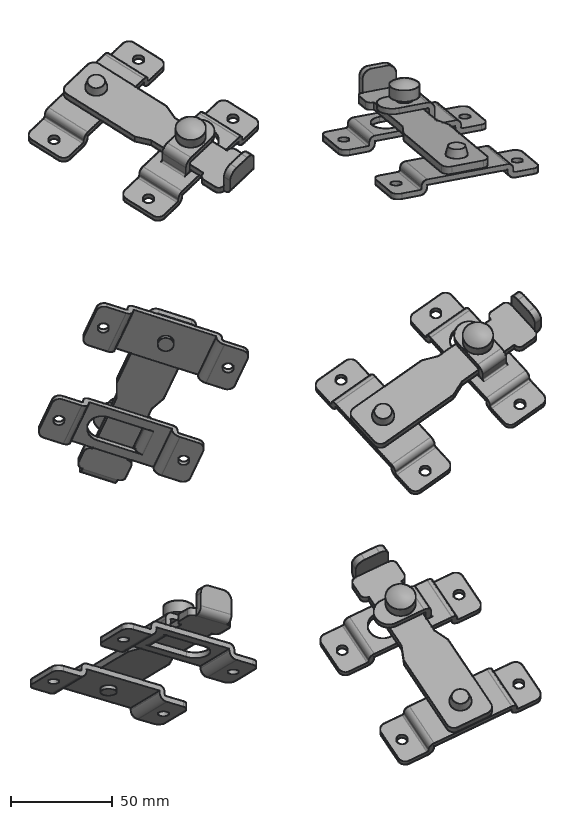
import cadquery as cq


plate_width = 25.0
plate_length = 80.0
plate_thickness = 3.0
plate_top = 8.0
plate_corner_radius = 4.0
plate_pitch = 60.0
riser_half_span = 25.0
tight_bend = 1.0
screw_hole_diameter = 5.6
screw_hole_spacing = 66.0
plate_underside = plate_top - plate_thickness
wide_bend = tight_bend + plate_thickness

hook_width = 15.0
hook_top = 18.0
hook_back = -13.0
hook_tip = 14.2
window_end = 17.5
hook_underside = hook_top - plate_thickness
hook_inner_back = hook_back + plate_thickness
hook_root = hook_back - tight_bend

bar_width = plate_width
bar_thickness = 4.0
bar_bottom = 8.5
bar_corner_radius = 4.0
bar_neck_width = 18.5
taper_start = 34.4
taper_end = 42.4
bar_head_start = 75.5
bar_head_length = 13.0
bar_head_radius = 3.0
tab_top = 24.6
tab_corner_radius = 5.0
bar_start = -plate_width / 2
bar_top = bar_bottom + bar_thickness
bar_head_end = bar_head_start + bar_head_length
tab_outer_face = bar_head_end + bar_thickness

shank_diameter = 5.0
rivet_tail_diameter = 8.0
rivet_tail_height = 2.0
rivet_head_diameter = 11.0
rivet_head_top_diameter = 8.6
rivet_head_height = 4.5
rivet_rim_height = 0.3

knob_diameter = 15.0
knob_neck_diameter = 8.0
knob_neck_length = 2.5
knob_side_height = 6.0
knob_dome_height = 2.5


def make_plate():
    """Raised strap: a flat bridge stepping down to a foot with a screw hole at each end."""
    half_length = plate_length / 2
    riser_inside = riser_half_span - plate_thickness
    foot_start = riser_half_span + tight_bend
    half_strap = (
        cq.Workplane("YZ")
        .moveTo(0, plate_top)
        .lineTo(riser_inside, plate_top)
        .tangentArcPoint((riser_half_span, plate_underside), relative=False)
        .lineTo(riser_half_span, wide_bend)
        .tangentArcPoint((foot_start, plate_thickness), relative=False)
        .lineTo(half_length, plate_thickness)
        .lineTo(half_length, 0)
        .lineTo(foot_start, 0)
        .tangentArcPoint((riser_inside, wide_bend), relative=False)
        .lineTo(riser_inside, plate_underside)
        .lineTo(0, plate_underside)
        .close()
        .extrude(plate_width / 2, both=True)
        .edges("|Z and >Y")
        .fillet(plate_corner_radius)
    )
    screw_holes = (
        cq.Workplane("XY")
        .pushPoints([(0, -screw_hole_spacing / 2), (0, screw_hole_spacing / 2)])
        .circle(screw_hole_diameter / 2)
        .extrude(plate_thickness)
    )
    return half_strap.union(half_strap.mirror("XZ")).clean().cut(screw_holes)


def plan_tongue(start, end, bottom, top):
    """Upright block as wide as the hook, square at the start and rounded at the +Y end."""
    radius = hook_width / 2
    return (
        cq.Workplane("XY", origin=(0, 0, bottom))
        .moveTo(-radius, start)
        .lineTo(radius, start)
        .lineTo(radius, end - radius)
        .threePointArc((0, end), (-radius, end - radius))
        .close()
        .extrude(top - bottom)
    )


def make_hook():
    """Strip rising from its root on the plate and bent over the bar towards +Y."""
    side = (
        cq.Workplane("YZ")
        .moveTo(hook_root, plate_top)
        .radiusArc((hook_back, plate_top + tight_bend), -tight_bend)
        .lineTo(hook_back, hook_top - wide_bend)
        .tangentArcPoint((hook_back + wide_bend, hook_top), relative=False)
        .lineTo(hook_tip, hook_top)
        .lineTo(hook_tip, hook_underside)
        .lineTo(hook_inner_back + tight_bend, hook_underside)
        .tangentArcPoint((hook_inner_back, hook_underside - tight_bend), relative=False)
        .lineTo(hook_inner_back, plate_underside + wide_bend)
        .tangentArcPoint((hook_root, plate_underside), relative=False)
        .close()
        .extrude(hook_width / 2, both=True)
    )
    return side.intersect(plan_tongue(hook_root, hook_tip, plate_underside, hook_top))


def rivet_hole():
    """Cutter for the bore that the shank fills through the first plate and the bar."""
    return (
        cq.Workplane("XY", origin=(0, 0, plate_underside))
        .circle(shank_diameter / 2)
        .extrude(bar_top - plate_underside)
    )


def make_pivot_plate():
    """First plate, pierced for the rivet shank."""
    return make_plate().cut(rivet_hole())


def make_keeper_plate():
    """Second plate, with the hook and the window it was bent out of."""
    window = plan_tongue(hook_root, window_end, plate_underside, plate_top)
    keeper = make_plate().cut(window).union(make_hook())
    return keeper.translate((plate_pitch, 0, 0))


def make_bar():
    """Flat latch bar, necked under the hook and turned up into a finger tab."""
    body = (
        cq.Workplane("XY", origin=(0, 0, bar_bottom))
        .moveTo(bar_start, -bar_width / 2)
        .lineTo(taper_start, -bar_width / 2)
        .lineTo(taper_end, -bar_neck_width / 2)
        .lineTo(bar_head_start, -bar_neck_width / 2)
        .lineTo(bar_head_start, bar_neck_width / 2)
        .lineTo(taper_end, bar_neck_width / 2)
        .lineTo(taper_start, bar_width / 2)
        .lineTo(bar_start, bar_width / 2)
        .close()
        .extrude(bar_thickness)
        .edges("|Z and <X")
        .fillet(bar_corner_radius)
    )
    head = (
        cq.Workplane("XY", origin=(bar_head_start, 0, bar_bottom))
        .box(bar_head_length, bar_width, bar_thickness, centered=(False, True, False))
        .edges("|Z")
        .fillet(bar_head_radius)
    )
    tab = (
        cq.Workplane("XZ")
        .moveTo(bar_head_end, bar_bottom)
        .radiusArc((tab_outer_face, bar_top), -bar_thickness)
        .lineTo(tab_outer_face, tab_top)
        .lineTo(bar_head_end, tab_top)
        .close()
        .extrude(bar_neck_width / 2, both=True)
        .edges("|X and >Z")
        .fillet(tab_corner_radius)
    )
    return body.union(head).union(tab).cut(rivet_hole())


def make_rivet():
    """Pivot rivet: flat tail, plain shank and a tapered head whose thin rim rests on the bar."""
    head_top = bar_top + rivet_head_height
    tail_bottom = plate_underside - rivet_tail_height
    rim_top = bar_top + rivet_rim_height
    return (
        cq.Workplane("XZ")
        .moveTo(0, tail_bottom)
        .lineTo(rivet_tail_diameter / 2, tail_bottom)
        .lineTo(rivet_tail_diameter / 2, plate_underside)
        .lineTo(shank_diameter / 2, plate_underside)
        .lineTo(shank_diameter / 2, bar_top)
        .lineTo(rivet_head_diameter / 2, bar_top)
        .lineTo(rivet_head_diameter / 2, rim_top)
        .lineTo(rivet_head_top_diameter / 2, head_top)
        .lineTo(0, head_top)
        .close()
        .revolve(360, (0, 0), (0, 1))
    )


def make_knob():
    """Domed knob standing on the hook by its narrower neck."""
    radius = knob_diameter / 2
    side_bottom = hook_top + knob_neck_length
    side_top = side_bottom + knob_side_height
    dome_top = side_top + knob_dome_height
    dome_radius = (radius**2 + knob_dome_height**2) / (2 * knob_dome_height)
    knob = (
        cq.Workplane("XZ")
        .moveTo(0, hook_top)
        .lineTo(knob_neck_diameter / 2, hook_top)
        .lineTo(knob_neck_diameter / 2, side_bottom)
        .lineTo(radius, side_bottom)
        .lineTo(radius, side_top)
        .radiusArc((0, dome_top), -dome_radius)
        .close()
        .revolve(360, (0, 0), (0, 1))
    )
    return knob.translate((plate_pitch, 0, 0))


pivot_plate = make_pivot_plate()
keeper_plate = make_keeper_plate()
bar = make_bar()
rivet = make_rivet()
knob = make_knob()

result = cq.Compound.makeCompound(
    [pivot_plate.val(), keeper_plate.val(), bar.val(), rivet.val(), knob.val()]
)